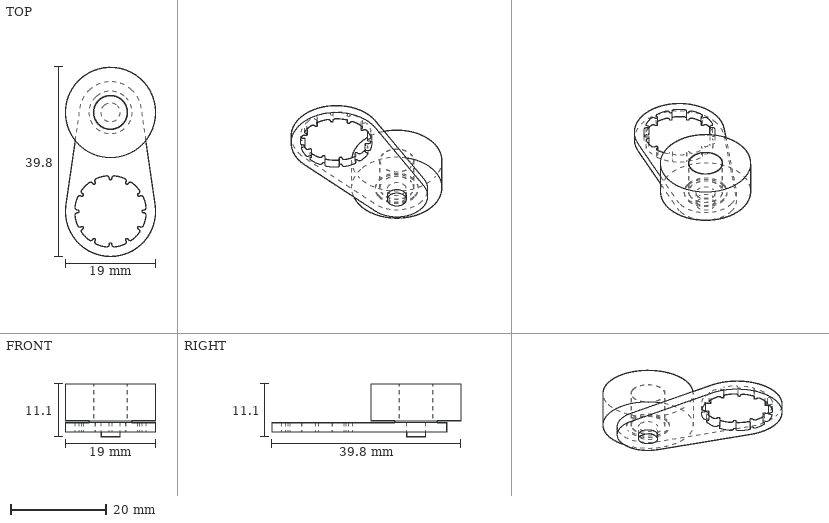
import cadquery as cq
import math

ARM_THICKNESS = 2.0
AXLE_END_RADIUS = 6.5
RING_END_RADIUS = 9.5
CENTRE_DISTANCE = 20.8

OPENING_RADIUS = 7.5
TOOTH_COUNT = 12
TOOTH_TIP_REACH = 6.6
TOOTH_WIDTH = 0.6
TOOTH_ROOT_FILLET = 0.5

PIN_DIAMETER = 4.0
PIN_PROTRUSION = 1.0
COLLAR_DIAMETER = 9.0
COLLAR_THICKNESS = 0.36
JOURNAL_DIAMETER = 7.0

ROLLER_DIAMETER = 19.0
ROLLER_HEIGHT = 7.75
BORE_DIAMETER = 7.2

COLLAR_TOP = ARM_THICKNESS + COLLAR_THICKNESS
ROLLER_TOP = COLLAR_TOP + ROLLER_HEIGHT


def cylinder(diameter, bottom, top):
    return cq.Workplane("XY").workplane(offset=bottom).circle(diameter / 2).extrude(top - bottom)


def arm_blank():
    """Two end rounds joined by their common outer tangents."""
    sine = (RING_END_RADIUS - AXLE_END_RADIUS) / CENTRE_DISTANCE
    cosine = math.sqrt(1 - sine**2)
    axle_x = AXLE_END_RADIUS * cosine
    axle_y = AXLE_END_RADIUS * sine
    ring_x = RING_END_RADIUS * cosine
    ring_y = RING_END_RADIUS * sine - CENTRE_DISTANCE
    return (
        cq.Workplane("XY")
        .moveTo(-axle_x, axle_y)
        .threePointArc((0, AXLE_END_RADIUS), (axle_x, axle_y))
        .lineTo(ring_x, ring_y)
        .threePointArc((0, -CENTRE_DISTANCE - RING_END_RADIUS), (-ring_x, ring_y))
        .close()
        .extrude(ARM_THICKNESS)
    )


def polar(radius, angle):
    """Point at a radius and angle about the centre of the toothed opening."""
    return (radius * math.cos(angle), radius * math.sin(angle) - CENTRE_DISTANCE)


def toothed_opening():
    """Round opening with round-tipped teeth pointing inwards, blended into the wall by root fillets."""
    half_width = TOOTH_WIDTH / 2
    pitch = 2 * math.pi / TOOTH_COUNT

    fillet_offset = half_width + TOOTH_ROOT_FILLET
    fillet_centre_radius = OPENING_RADIUS - TOOTH_ROOT_FILLET
    fillet_angle = math.asin(fillet_offset / fillet_centre_radius)
    fillet_depth = fillet_centre_radius * math.cos(fillet_angle)

    wall_end = (OPENING_RADIUS, fillet_angle)
    flank_outer = (math.hypot(fillet_depth, half_width), math.atan2(half_width, fillet_depth))
    tip_depth = TOOTH_TIP_REACH + half_width
    flank_inner = (math.hypot(tip_depth, half_width), math.atan2(half_width, tip_depth))

    facing = (math.pi / 2 - fillet_angle) / 2 - math.pi / 2 + fillet_angle
    middle_depth = fillet_depth + TOOTH_ROOT_FILLET * math.cos(facing)
    middle_offset = fillet_offset + TOOTH_ROOT_FILLET * math.sin(facing)
    fillet_middle = (math.hypot(middle_depth, middle_offset), math.atan2(middle_offset, middle_depth))

    def tooth_point(point, tooth_angle, side):
        radius, angle = point
        return polar(radius, tooth_angle + side * angle)

    outline = cq.Workplane("XY").moveTo(*tooth_point(wall_end, 0, -1))
    for index in range(TOOTH_COUNT):
        middle = index * pitch
        outline = (
            outline
            .threePointArc(tooth_point(fillet_middle, middle, -1), tooth_point(flank_outer, middle, -1))
            .lineTo(*tooth_point(flank_inner, middle, -1))
            .threePointArc(polar(TOOTH_TIP_REACH, middle), tooth_point(flank_inner, middle, 1))
            .lineTo(*tooth_point(flank_outer, middle, 1))
            .threePointArc(tooth_point(fillet_middle, middle, 1), tooth_point(wall_end, middle, 1))
            .threePointArc(
                polar(OPENING_RADIUS, middle + pitch / 2),
                tooth_point(wall_end, middle + pitch, -1),
            )
        )
    return outline.close().extrude(ARM_THICKNESS)


def make_arm():
    pin_hole = cylinder(PIN_DIAMETER, 0, ARM_THICKNESS)
    return arm_blank().cut(toothed_opening()).cut(pin_hole)


def make_axle():
    pin = cylinder(PIN_DIAMETER, -PIN_PROTRUSION, ARM_THICKNESS)
    collar = cylinder(COLLAR_DIAMETER, ARM_THICKNESS, COLLAR_TOP)
    journal = cylinder(JOURNAL_DIAMETER, COLLAR_TOP, ROLLER_TOP)
    return pin.union(collar).union(journal)


def make_roller():
    drum = cylinder(ROLLER_DIAMETER, COLLAR_TOP, ROLLER_TOP)
    bore = cylinder(BORE_DIAMETER, COLLAR_TOP, ROLLER_TOP)
    return drum.cut(bore)


arm = make_arm()
axle = make_axle()
roller = make_roller()

result = cq.Compound.makeCompound([arm.val(), axle.val(), roller.val()])